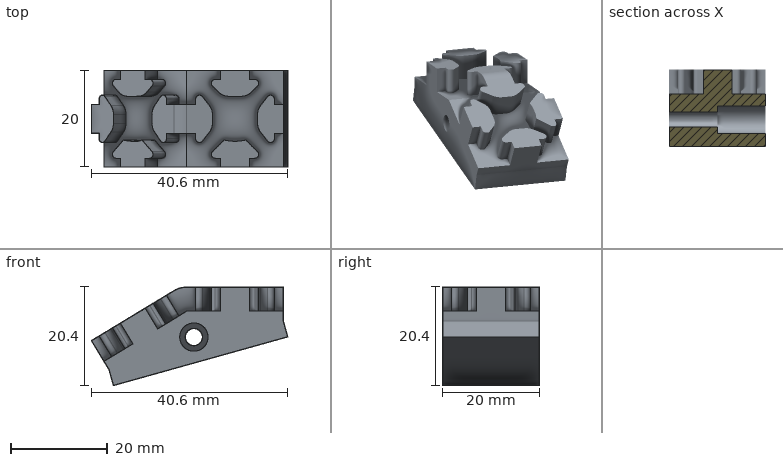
import cadquery as cq
import math

WIDTH = 20.0
PLATE = 20.0
FOLD = 31.2
END_DROP = 2.0
BODY_DEPTH = 10.74

KEY_HEIGHT = 5.0
STEM_HALF = 3.0
STEM_LENGTH = 1.85
HEAD_HALF = 4.9
HEAD_CORNER = 0.8
NOSE_REACH = 5.34
NOSE_RADIUS = 3.0
HOLLOW_REACH = 5.62
END_FLANK = 38.0
SIDE_FLANK = 45.0

HOLE_DEPTH = 5.55
HOLE_DIAMETER = 3.5
BORE_DIAMETER = 5.85
BORE_LENGTH = WIDTH / 2

HALF_FOLD = math.radians(FOLD / 2)


def tilted(along, up):
    """Turn a point of the symmetric section (fold line at origin) into X, Z."""
    return (
        along * math.cos(HALF_FOLD) - up * math.sin(HALF_FOLD),
        along * math.sin(HALF_FOLD) + up * math.cos(HALF_FOLD),
    )


def section_half(side):
    """Outer end of one mounting face, foot of its short wall and the underside corner."""
    cos_half = math.cos(HALF_FOLD)
    sin_half = math.sin(HALF_FOLD)
    end = PLATE * cos_half - END_DROP * sin_half
    face_end = (side * PLATE * cos_half, -PLATE * sin_half)
    wall_foot = (side * end, -PLATE * sin_half - END_DROP * cos_half)
    corner = (side * end, -BODY_DEPTH)
    return [tilted(*point) for point in (face_end, wall_foot, corner)]


def make_body():
    """Wedge-like body under the two mounting faces, centred on Y = 0."""
    outline = [(0, 0)] + section_half(1) + section_half(-1)[::-1]
    return cq.Workplane("XZ").polyline(outline).close().extrude(WIDTH / 2, both=True)


def mirrored(point):
    """Reflect a key outline point across the key's centre line."""
    return (point[0], -point[1])


def make_key(flank_angle, hollow=False):
    """T-shaped key whose stem starts on the Y axis and points along +X."""
    flank = math.radians(flank_angle)
    corner_x = STEM_LENGTH + HEAD_CORNER
    corner_y = HEAD_HALF - HEAD_CORNER

    flank_start = (
        corner_x + HEAD_CORNER * math.cos(flank),
        corner_y + HEAD_CORNER * math.sin(flank),
    )
    mid_turn = (math.pi + flank) / 2
    corner_mid = (
        corner_x + HEAD_CORNER * math.cos(mid_turn),
        corner_y + HEAD_CORNER * math.sin(mid_turn),
    )

    if hollow:
        flank_end_x = HOLLOW_REACH
    else:
        flank_end_x = NOSE_REACH - NOSE_RADIUS * (1 - math.cos(flank))
    flank_end_y = flank_start[1] - (flank_end_x - flank_start[0]) / math.tan(flank)
    flank_end = (flank_end_x, flank_end_y)

    key = (
        cq.Workplane("XY")
        .moveTo(0, -STEM_HALF)
        .lineTo(0, STEM_HALF)
        .lineTo(STEM_LENGTH, STEM_HALF)
        .lineTo(STEM_LENGTH, corner_y)
        .threePointArc(corner_mid, flank_start)
        .lineTo(*flank_end)
    )
    if hollow:
        key = key.threePointArc((NOSE_REACH, 0), mirrored(flank_end))
    else:
        nose_x = NOSE_REACH - NOSE_RADIUS
        nose_y = flank_end_y - NOSE_RADIUS * math.sin(flank)
        nose_mid = (
            nose_x + NOSE_RADIUS * math.cos(flank / 2),
            nose_y + NOSE_RADIUS * math.sin(flank / 2),
        )
        nose_end = (NOSE_REACH, nose_y)
        key = (
            key.threePointArc(nose_mid, nose_end)
            .lineTo(*mirrored(nose_end))
            .threePointArc(mirrored(nose_mid), mirrored(flank_end))
        )
    return (
        key.lineTo(*mirrored(flank_start))
        .threePointArc(mirrored(corner_mid), (STEM_LENGTH, -corner_y))
        .lineTo(STEM_LENGTH, -STEM_HALF)
        .close()
        .extrude(KEY_HEIGHT)
    )


def make_key_set():
    """Four keys pointing inward from the edges of a mounting face centred at the origin."""
    keys = [
        (make_key(END_FLANK), 0),
        (make_key(SIDE_FLANK, hollow=True), 90),
        (make_key(END_FLANK), 180),
        (make_key(SIDE_FLANK), 270),
    ]
    key_set = cq.Workplane("XY")
    for key, turn in keys:
        placed = key.translate((-PLATE / 2, 0, 0)).rotate((0, 0, 0), (0, 0, 1), turn)
        key_set = key_set.add(placed)
    return key_set.combine()


def fold_down(shape):
    """Swing a shape about the fold line onto the sloping mounting face."""
    return shape.rotate((0, 0, 0), (0, 1, 0), -FOLD)


def make_bridge():
    """Round sector joining the stems that meet at the fold line."""
    fold = math.radians(FOLD)

    def rim(angle):
        return (-KEY_HEIGHT * math.sin(angle), KEY_HEIGHT * math.cos(angle))

    return (
        cq.Workplane("XZ")
        .lineTo(*rim(0))
        .threePointArc(rim(fold / 2), rim(fold))
        .close()
        .extrude(STEM_HALF, both=True)
    )


def make_hole():
    """Through hole along Y with a counterbore on the -Y side."""
    centre = tilted(0, -HOLE_DEPTH)
    front = cq.Workplane("XZ", origin=(0, -WIDTH / 2, 0)).center(*centre)
    through = front.circle(HOLE_DIAMETER / 2).extrude(-WIDTH)
    bore = front.circle(BORE_DIAMETER / 2).extrude(-BORE_LENGTH)
    return through.union(bore)


key_set = make_key_set()
level_keys = key_set.translate((PLATE / 2, 0, 0))
sloping_keys = fold_down(key_set.translate((-PLATE / 2, 0, 0)))

result = (
    make_body()
    .union(level_keys)
    .union(sloping_keys)
    .union(make_bridge())
    .cut(make_hole())
)